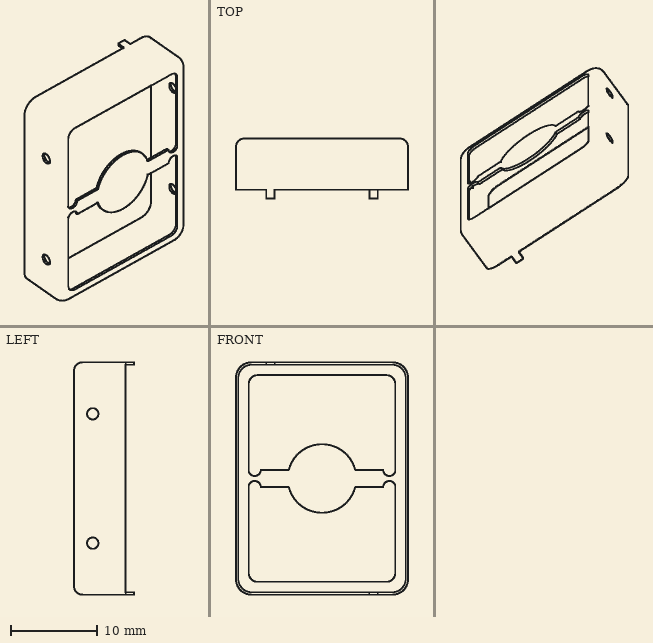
import cadquery as cq

width = 20.0
height = 27.0
depth = 6.0
wall = 0.3
corner_radius = 1.8
back_edge_radius = 1.0

window_margin = 1.5
window_width = width - 2 * window_margin
window_height = height - 2 * window_margin
window_corner_radius = 1.0
disc_radius = 4.0
arm_height = 2.0
notch_radius = 0.7
notch_inset = 0.68

hole_diameter = 1.3
hole_from_back = 2.2
hole_z = 7.5

tab_width = 1.0
tab_length = 1.0
tab_x = 6.0


def rounded_block(size_x, size_z, front_y, back_y, radius):
    """Block from front_y to back_y with rounded edges along Y."""
    block = cq.Workplane("XY").box(size_x, back_y - front_y, size_z)
    block = block.translate((0, (front_y + back_y) / 2, 0))
    return block.edges("|Y").fillet(radius)


def make_shell():
    """Open tray of even wall thickness with a rounded back edge."""
    outer = rounded_block(width, height, 0, depth, corner_radius)
    outer = outer.faces(">Y").edges().fillet(back_edge_radius)
    cavity = rounded_block(
        width - 2 * wall, height - 2 * wall, 0, depth - wall, corner_radius - wall
    )
    cavity = cavity.faces(">Y").edges().fillet(back_edge_radius - wall)
    return outer.cut(cavity)


def make_crossbar():
    """Disc on two arms, each necked by a pair of round notches."""
    back_plane = cq.Workplane("XZ", origin=(0, depth, 0))
    arms = back_plane.rect(window_width, arm_height).extrude(wall)
    disc = back_plane.circle(disc_radius).extrude(wall)
    notch_x = window_width / 2 - notch_inset
    notch_z = arm_height / 2
    notch_centres = [(x, z) for x in (-notch_x, notch_x) for z in (-notch_z, notch_z)]
    notches = back_plane.pushPoints(notch_centres).circle(notch_radius).extrude(wall)
    return arms.cut(notches).union(disc)


def make_window():
    """Cutter for the floor opening around the crossbar."""
    opening = rounded_block(
        window_width, window_height, depth - wall, depth, window_corner_radius
    )
    return opening.cut(make_crossbar())


def make_side_holes():
    """Cutter for two holes passing through both side walls."""
    return (
        cq.Workplane("YZ")
        .pushPoints([(depth - hole_from_back, z) for z in (-hole_z, hole_z)])
        .circle(hole_diameter / 2)
        .extrude(width / 2, both=True)
    )


def make_tab(side):
    """Tab continuing the top (side=1) or bottom (side=-1) wall forward."""
    tab = cq.Workplane("XY").box(tab_width, tab_length + wall, wall)
    return tab.translate((-side * tab_x, (wall - tab_length) / 2, side * (height - wall) / 2))


result = make_shell().cut(make_window()).cut(make_side_holes())
for side in (-1, 1):
    result = result.union(make_tab(side))